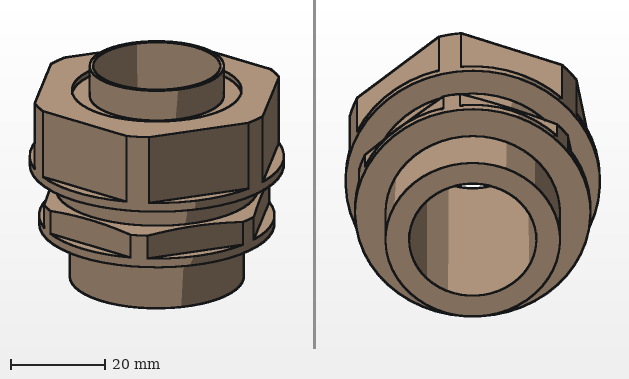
import cadquery as cq
import math

spigot_top = 12.0
lower_flange_top = 14.0
lower_hex_top = 20.1
collar_top = 25.5
upper_flange_top = 27.5
upper_hex_top = 42.5
total_height = 48.0

spigot_diameter = 37.05
lower_flange_diameter = 50.0
collar_diameter = 43.0
upper_flange_diameter = 54.0
tube_diameter = 28.5
bore_diameter = 27.0
recess_diameter = 36.0

lower_hex_flats = 45.0
upper_hex_flats = 49.0
lower_chamfer_height = 0.9

recess_depth = 1.25


def cylinder(diameter, bottom, top):
    return cq.Workplane("XY").workplane(offset=bottom).circle(diameter / 2).extrude(top - bottom)


def rounded_hexagon(across_flats, corner_diameter, bottom, top):
    """Hexagonal prism whose corners are turned down to a cylinder."""
    across_corners = across_flats / math.cos(math.pi / 6)
    prism = (
        cq.Workplane("XY")
        .workplane(offset=bottom)
        .polygon(6, across_corners)
        .extrude(top - bottom)
    )
    return prism.intersect(cylinder(corner_diameter, bottom, top))


def chamfered_envelope():
    """Turned blank whose conical top bevels the lower hexagon's corners."""
    radius = lower_flange_diameter / 2
    profile = [
        (0, lower_flange_top),
        (radius, lower_flange_top),
        (radius, lower_hex_top - lower_chamfer_height),
        (collar_diameter / 2, lower_hex_top),
        (0, lower_hex_top),
    ]
    return cq.Workplane("XZ").polyline(profile).close().revolve(360, (0, 0, 0), (0, 1, 0))


spigot = cylinder(spigot_diameter, 0, spigot_top)
lower_flange = cylinder(lower_flange_diameter, spigot_top, lower_flange_top)
lower_hex = rounded_hexagon(
    lower_hex_flats, lower_flange_diameter, lower_flange_top, lower_hex_top
).intersect(chamfered_envelope())

collar = cylinder(collar_diameter, lower_hex_top, collar_top)
upper_flange = cylinder(upper_flange_diameter, collar_top, upper_flange_top)
upper_hex = rounded_hexagon(
    upper_hex_flats, upper_flange_diameter, upper_flange_top, upper_hex_top
).cut(cylinder(recess_diameter, upper_hex_top - recess_depth, upper_hex_top))

tube = cylinder(tube_diameter, upper_flange_top, total_height)

body = spigot
for section in (lower_flange, lower_hex, collar, upper_flange, upper_hex, tube):
    body = body.union(section)

result = body.cut(cylinder(bore_diameter, 0, total_height))